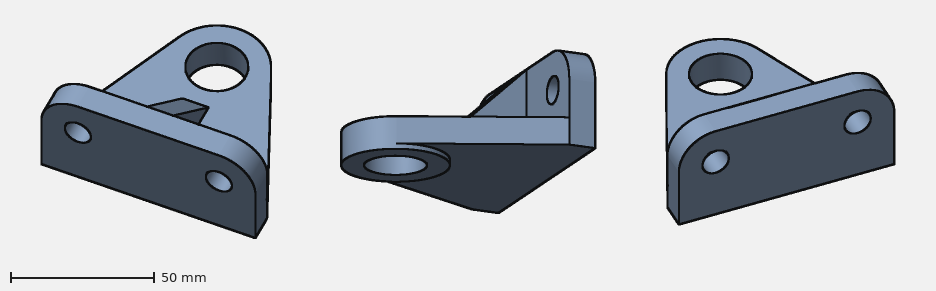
import cadquery as cq
import math

width = 82.0
plate_height = 38.0
thickness = 10.0
corner_radius = 14.0
mount_hole_diameter = 10.0
eye_center_y = 58.0
eye_outer_radius = 19.0
eye_hole_diameter = 22.0
boss_height = 2.0
rib_length = 30.0

half_width = width / 2


def make_mounting_plate():
    """Upright plate with two rounded top corners and two mounting holes."""
    plate = (
        cq.Workplane("XY")
        .box(width, thickness, plate_height, centered=(True, False, False))
        .edges("|Y and >Z")
        .fillet(corner_radius)
    )
    hole_x = half_width - corner_radius
    hole_z = plate_height - corner_radius
    holes = (
        cq.Workplane("XZ")
        .pushPoints([(-hole_x, hole_z), (hole_x, hole_z)])
        .circle(mount_hole_diameter / 2)
        .extrude(-thickness)
    )
    return plate.cut(holes)


def make_lug():
    """Flat lug whose straight sides run tangent into the round eye."""
    root_to_eye = eye_center_y - thickness
    corner_distance = math.hypot(half_width, root_to_eye)
    corner_angle = math.atan2(-root_to_eye, half_width)
    tangent_angle = corner_angle + math.acos(eye_outer_radius / corner_distance)
    tangent_x = eye_outer_radius * math.cos(tangent_angle)
    tangent_y = eye_center_y + eye_outer_radius * math.sin(tangent_angle)
    return (
        cq.Workplane("XY")
        .moveTo(-half_width, thickness)
        .lineTo(half_width, thickness)
        .lineTo(tangent_x, tangent_y)
        .threePointArc((0, eye_center_y + eye_outer_radius), (-tangent_x, tangent_y))
        .close()
        .extrude(thickness)
    )


def make_boss():
    """Round pad under the eye."""
    return (
        cq.Workplane("XY")
        .center(0, eye_center_y)
        .circle(eye_outer_radius)
        .extrude(-boss_height)
    )


def make_rib():
    """Triangular rib bracing the mounting plate against the lug."""
    return (
        cq.Workplane("YZ")
        .moveTo(thickness, thickness)
        .lineTo(thickness + rib_length, thickness)
        .lineTo(thickness, plate_height)
        .close()
        .extrude(thickness / 2, both=True)
    )


def make_eye_hole():
    """Through hole of the eye, spanning the boss and the lug."""
    return (
        cq.Workplane("XY", origin=(0, eye_center_y, -boss_height))
        .circle(eye_hole_diameter / 2)
        .extrude(boss_height + thickness)
    )


result = (
    make_mounting_plate()
    .union(make_lug())
    .union(make_boss())
    .union(make_rib())
    .cut(make_eye_hole())
)